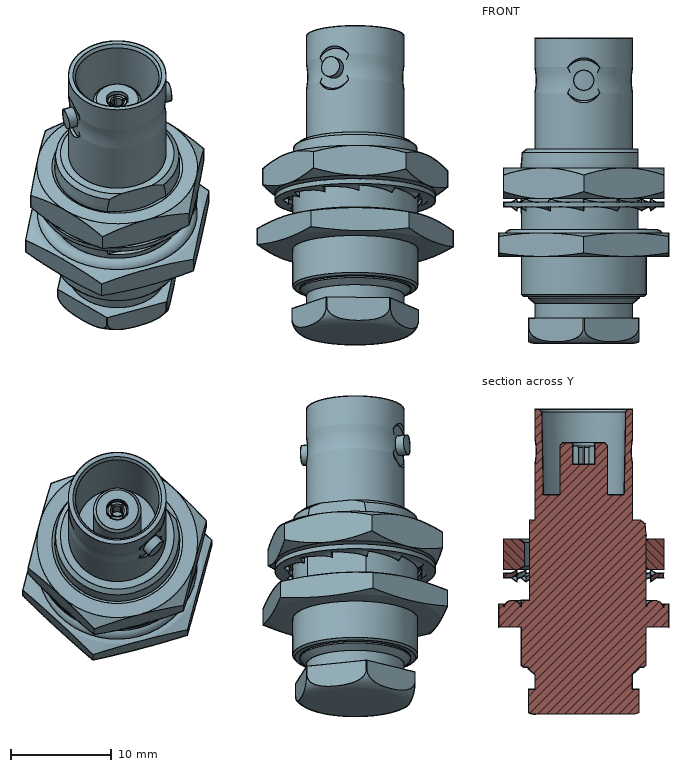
import cadquery as cq
import math


TOTAL_HEIGHT = 30.5
BARREL_RADIUS = 4.88
THREAD_RADIUS = 6.25
THREAD_FLAT_X = 5.43

FLANGE_APOTHEM = 17.0 / 2
NUT_APOTHEM = 8.02
CLAMP_APOTHEM = 5.52

CLAMP_TOP = 2.53
NECK_TOP = 3.95
RELIEF_CONE_TOP = 4.55
BODY_BOTTOM = 4.7
FLANGE_BOTTOM = 8.7
FLANGE_TOP = 11.05
NUT_BOTTOM = 14.45
NUT_TOP = 17.55
THREAD_TOP = 17.9
COLLAR_TOP = 19.43

CLAMP_CORNER_RADIUS = 6.35
CLAMP_ROUNDING = 1.52
RELIEF_RADIUS = 5.55
BODY_CHAMFER = 0.2

COLLAR_RADIUS = 6.15
COLLAR_CHAMFER_WIDTH = 0.5
COLLAR_CHAMFER_HEIGHT = 0.37

SEAL_GROOVE_RADIUS = 8.0
SEAL_TOP = 11.4
SEAL_BITE = 0.015
SEAL_CENTRE_RADIUS = (THREAD_RADIUS + SEAL_GROOVE_RADIUS) / 2
SEAL_SECTION_RADIUS = (SEAL_GROOVE_RADIUS - THREAD_RADIUS) / 2 + SEAL_BITE
SEAL_CENTRE_Z = SEAL_TOP - SEAL_SECTION_RADIUS

PIN_Z = 26.3
PIN_RADIUS = 1.0
PIN_REACH = 5.55
BAYONET_GROOVE_HALF_HEIGHT = 1.28
BAYONET_GROOVE_DEPTH = 0.12
SPOT_FACE_RADIUS = 2.05
SPOT_FACE_Y = 4.6
SPOT_FACE_TAPER = 35.0

BORE_RADIUS = 4.18
BORE_FLOOR_RADIUS = 4.03
BORE_MOUTH_RADIUS = 4.42
BORE_MOUTH_DEPTH = 0.3
BORE_FLOOR_Z = 21.95

INSULATOR_RADIUS = 2.38
INSULATOR_TOP = 27.15
INSULATOR_CHAMFER = 0.27
CONTACT_RADIUS = 1.1
CONTACT_TOP = 26.85
CONTACT_HOLE_RADIUS = 0.55
CONTACT_CHAMFER = 0.15
CONTACT_HOLE_DEPTH = 1.83
CONTACT_SLOT_WIDTH = 0.18

FLANGE_BEVEL_ANGLE = 15.0
NUT_BEVEL_ANGLE = 30.0

NUT_BORE_RADIUS = 5.92
NUT_BORE_MOUTH_RADIUS = 6.53

WASHER_RADIUS = NUT_APOTHEM
WASHER_THICKNESS = 0.5
TOOTH_COUNT = 12
TOOTH_ROOT_RADIUS = 7.23
TOOTH_TIP_RADIUS = 6.68
TOOTH_TRIM = 0.03
TOOTH_RISE = 0.35
TOOTH_DROP = 0.43
WASHER_TOP = NUT_BOTTOM - TOOTH_RISE
WASHER_BOTTOM = WASHER_TOP - WASHER_THICKNESS


def cylinder(radius, bottom, top):
    return cq.Workplane("XY").workplane(offset=bottom).circle(radius).extrude(top - bottom)


def cone(bottom_radius, bottom, top_radius, top):
    return cq.Workplane("XY").add(
        cq.Solid.makeCone(bottom_radius, top_radius, top - bottom, cq.Vector(0, 0, bottom))
    )


def hexagon(apothem, bottom, top):
    """Hexagonal prism with two flats facing -X and +X."""
    corner_diameter = 2 * apothem / math.cos(math.pi / 6)
    return (
        cq.Workplane("XY")
        .workplane(offset=bottom)
        .transformed(rotate=(0, 0, 90))
        .polygon(6, corner_diameter)
        .extrude(top - bottom)
    )


def bevelled_hexagon(apothem, bottom, top, bevel_angle):
    """Hexagonal prism whose corners are turned to a cone on both ends."""
    corner_radius = apothem / math.cos(math.pi / 6)
    bevel_height = (corner_radius - apothem) * math.tan(math.radians(bevel_angle))
    turned = (
        cq.Workplane("XZ")
        .moveTo(0, bottom)
        .lineTo(apothem, bottom)
        .lineTo(corner_radius, bottom + bevel_height)
        .lineTo(corner_radius, top - bevel_height)
        .lineTo(apothem, top)
        .lineTo(0, top)
        .close()
        .revolve(360, (0, 0, 0), (0, 1, 0))
    )
    return hexagon(apothem, bottom, top).intersect(turned)


def clamp_hexagon():
    """Cable-end hexagon, turned at the corners and rounded at the bottom."""
    turned = cylinder(CLAMP_CORNER_RADIUS, 0, CLAMP_TOP).faces("<Z").edges().fillet(CLAMP_ROUNDING)
    return hexagon(CLAMP_APOTHEM, 0, CLAMP_TOP).intersect(turned)


def lower_body():
    """Turned body from the clamp up into the flange."""
    return (
        cq.Workplane("XZ")
        .moveTo(0, CLAMP_TOP)
        .lineTo(BARREL_RADIUS, CLAMP_TOP)
        .lineTo(BARREL_RADIUS, NECK_TOP)
        .lineTo(RELIEF_RADIUS, RELIEF_CONE_TOP)
        .lineTo(RELIEF_RADIUS, BODY_BOTTOM)
        .lineTo(THREAD_RADIUS - BODY_CHAMFER, BODY_BOTTOM)
        .lineTo(THREAD_RADIUS, BODY_BOTTOM + BODY_CHAMFER)
        .lineTo(THREAD_RADIUS, FLANGE_BOTTOM)
        .lineTo(0, FLANGE_BOTTOM)
        .close()
        .revolve(360, (0, 0, 0), (0, 1, 0))
    )


def sealed_flange():
    """Hexagonal flange with the sealing ring half sunk into its top."""
    flange = bevelled_hexagon(FLANGE_APOTHEM, FLANGE_BOTTOM, FLANGE_TOP, FLANGE_BEVEL_ANGLE)
    groove = cylinder(SEAL_GROOVE_RADIUS, SEAL_CENTRE_Z, FLANGE_TOP)
    seal = cq.Solid.makeTorus(SEAL_CENTRE_RADIUS, SEAL_SECTION_RADIUS, cq.Vector(0, 0, SEAL_CENTRE_Z))
    return flange.cut(groove).union(cq.Workplane("XY").add(seal))


def flatted_thread():
    """Thread and collar with the D-flat, from the seal groove floor up."""
    turned = (
        cq.Workplane("XZ")
        .moveTo(0, SEAL_CENTRE_Z)
        .lineTo(THREAD_RADIUS, SEAL_CENTRE_Z)
        .lineTo(THREAD_RADIUS, THREAD_TOP)
        .lineTo(COLLAR_RADIUS, COLLAR_TOP - COLLAR_CHAMFER_HEIGHT)
        .lineTo(COLLAR_RADIUS - COLLAR_CHAMFER_WIDTH, COLLAR_TOP)
        .lineTo(0, COLLAR_TOP)
        .close()
        .revolve(360, (0, 0, 0), (0, 1, 0))
    )
    beyond_flat = cq.Workplane("XY").box(
        THREAD_RADIUS, 2 * THREAD_RADIUS, COLLAR_TOP - SEAL_TOP, centered=(False, True, False)
    )
    beyond_flat = beyond_flat.translate((THREAD_FLAT_X, 0, SEAL_TOP))
    return turned.cut(beyond_flat)


def barrel():
    """Bayonet barrel with its shallow groove, two spot faces and two pins."""
    groove_radius = BARREL_RADIUS - BAYONET_GROOVE_DEPTH
    shell = (
        cq.Workplane("XZ")
        .moveTo(0, COLLAR_TOP)
        .lineTo(BARREL_RADIUS, COLLAR_TOP)
        .lineTo(BARREL_RADIUS, PIN_Z - BAYONET_GROOVE_HALF_HEIGHT)
        .threePointArc((groove_radius, PIN_Z), (BARREL_RADIUS, PIN_Z + BAYONET_GROOVE_HALF_HEIGHT))
        .lineTo(BARREL_RADIUS, TOTAL_HEIGHT)
        .lineTo(0, TOTAL_HEIGHT)
        .close()
        .revolve(360, (0, 0, 0), (0, 1, 0))
    )
    spot_face_depth = BARREL_RADIUS - SPOT_FACE_Y
    spot_face_mouth = SPOT_FACE_RADIUS + spot_face_depth * math.tan(math.radians(SPOT_FACE_TAPER))
    for side in (-1, 1):
        spot_face = cq.Solid.makeCone(
            SPOT_FACE_RADIUS,
            spot_face_mouth,
            spot_face_depth,
            cq.Vector(0, side * SPOT_FACE_Y, PIN_Z),
            cq.Vector(0, side, 0),
        )
        shell = shell.cut(cq.Workplane("XY").add(spot_face))
    across = cq.Workplane("XZ", origin=(0, 0, PIN_Z))
    pin_envelope = cylinder(PIN_REACH, PIN_Z - PIN_RADIUS, PIN_Z + PIN_RADIUS)
    pins = across.circle(PIN_RADIUS).extrude(PIN_REACH, both=True).intersect(pin_envelope)
    return shell.union(pins)


def mating_bore():
    """Tapered space cut from the top of the barrel, flared at the mouth."""
    flare_z = TOTAL_HEIGHT - BORE_MOUTH_DEPTH
    bore = cone(BORE_FLOOR_RADIUS, BORE_FLOOR_Z, BORE_RADIUS, flare_z)
    mouth = cone(BORE_RADIUS, flare_z, BORE_MOUTH_RADIUS, TOTAL_HEIGHT)
    return bore.union(mouth)


def insulator_and_contact():
    """Chamfered insulator with a slotted socket contact just below its top."""
    hole_floor_z = CONTACT_TOP - CONTACT_HOLE_DEPTH
    chamfer_z = CONTACT_TOP - CONTACT_CHAMFER
    insulator = (
        cylinder(INSULATOR_RADIUS, BORE_FLOOR_Z, INSULATOR_TOP)
        .faces(">Z")
        .edges()
        .chamfer(INSULATOR_CHAMFER)
        .cut(cylinder(CONTACT_RADIUS, hole_floor_z, INSULATOR_TOP))
    )
    contact = (
        cylinder(CONTACT_RADIUS, hole_floor_z, chamfer_z)
        .union(cone(CONTACT_RADIUS, chamfer_z, CONTACT_RADIUS - CONTACT_CHAMFER, CONTACT_TOP))
        .cut(cylinder(CONTACT_HOLE_RADIUS, hole_floor_z, CONTACT_TOP))
        .cut(cone(CONTACT_HOLE_RADIUS, chamfer_z, CONTACT_HOLE_RADIUS + CONTACT_CHAMFER, CONTACT_TOP))
    )
    for angle in (0, 90):
        slot = (
            cq.Workplane("XY")
            .workplane(offset=hole_floor_z)
            .rect(2 * CONTACT_RADIUS, CONTACT_SLOT_WIDTH)
            .extrude(CONTACT_HOLE_DEPTH)
            .rotate((0, 0, 0), (0, 0, 1), angle)
        )
        contact = contact.cut(slot)
    return insulator.union(contact)


def make_connector():
    """Connector as one solid, from the clamp hexagon to the bayonet barrel."""
    outside = clamp_hexagon().union(lower_body()).union(sealed_flange())
    outside = outside.union(flatted_thread()).union(barrel())
    return outside.cut(mating_bore()).union(insulator_and_contact())


def make_nut():
    """Bevelled panel nut, its chamfered bore fitted to the flatted thread."""
    mouth_width = NUT_BORE_MOUTH_RADIUS - NUT_BORE_RADIUS
    mouth_depth = mouth_width * math.tan(math.radians(NUT_BEVEL_ANGLE))
    return (
        bevelled_hexagon(NUT_APOTHEM, NUT_BOTTOM, NUT_TOP, NUT_BEVEL_ANGLE)
        .cut(cylinder(NUT_BORE_RADIUS, NUT_BOTTOM, NUT_TOP))
        .cut(cone(NUT_BORE_RADIUS, NUT_TOP - mouth_depth, NUT_BORE_MOUTH_RADIUS, NUT_TOP))
        .cut(cone(NUT_BORE_MOUTH_RADIUS, NUT_BOTTOM, NUT_BORE_RADIUS, NUT_BOTTOM + mouth_depth))
        .cut(flatted_thread())
    )


def washer_tooth(middle_angle):
    """Tooth centred on the given angle, flat at the root and twisted at the tip."""
    half_angle = math.pi / TOOTH_COUNT

    def section(corner_radius, rise, drop):
        x = corner_radius * math.cos(half_angle)
        y = corner_radius * math.sin(half_angle)
        corners = [
            (x, -y, WASHER_BOTTOM + rise),
            (x, y, WASHER_BOTTOM - drop),
            (x, y, WASHER_TOP - drop),
            (x, -y, WASHER_TOP + rise),
        ]
        return cq.Wire.makePolygon([cq.Vector(*corner) for corner in corners], close=True)

    root = section(TOOTH_ROOT_RADIUS, 0, 0)
    tip = section(TOOTH_TIP_RADIUS - TOOTH_TRIM, TOOTH_RISE, TOOTH_DROP)
    tooth = cq.Workplane("XY").add(cq.Solid.makeLoft([root, tip], True))
    return tooth.rotate((0, 0, 0), (0, 0, 1), middle_angle)


def make_washer():
    """Flat ring with twisted teeth all round its inner edge."""
    pitch_angle = 360 / TOOTH_COUNT
    washer = (
        cq.Workplane("XY")
        .workplane(offset=WASHER_TOP)
        .circle(WASHER_RADIUS)
        .polygon(TOOTH_COUNT, 2 * TOOTH_ROOT_RADIUS)
        .extrude(-WASHER_THICKNESS)
    )
    for index in range(TOOTH_COUNT):
        washer = washer.union(washer_tooth((index + 0.5) * pitch_angle))
    tip_bore = cylinder(TOOTH_TIP_RADIUS, WASHER_BOTTOM - TOOTH_DROP, NUT_BOTTOM)
    return washer.cut(tip_bore)


connector = make_connector()
nut = make_nut()
washer = make_washer()

result = cq.Compound.makeCompound([*connector.solids().vals(), *nut.solids().vals(), *washer.solids().vals()])